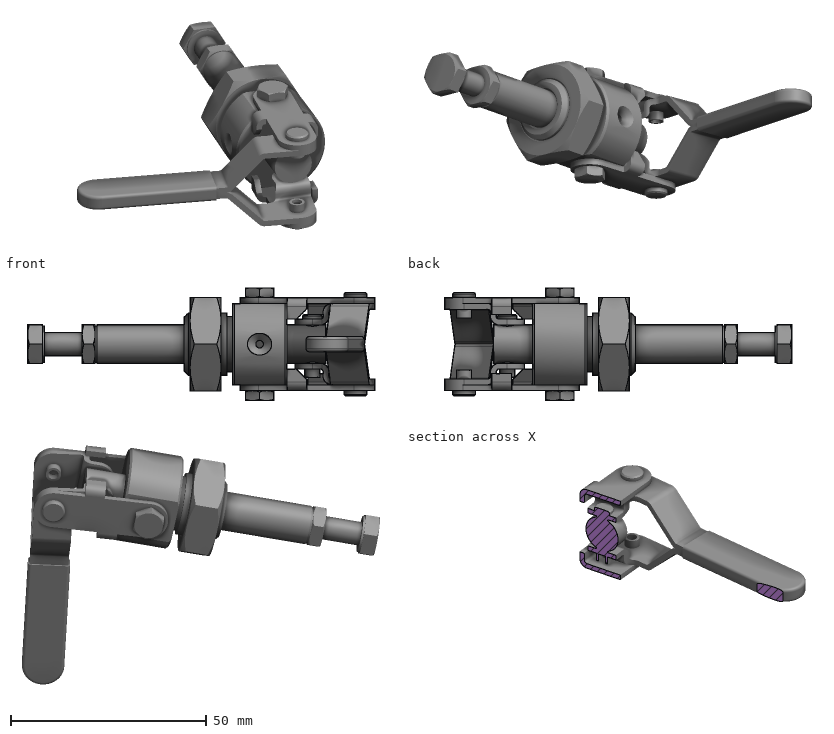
import cadquery as cq
import math


BOLT_AF = 10.0
BOLT_HEAD = 3.7
BOLT_COLLAR = 0.5
COLLAR_RADIUS = 4.7
STUD_RADIUS = 3.0
LOCK_NUT_X = 14.0
LOCK_NUT_THICK = 3.3
LOCK_NUT_COLLAR = 0.5

HEX_TRIM_ANGLE = math.radians(30)

PLUNGER_RADIUS = 5.0
PLUNGER_END = 76.4

SLEEVE_X = 40.1
SLEEVE_RADIUS = 8.0
SLEEVE_CHAMFER = 1.1
SLEEVE_END = 51.05
NECK_RADIUS = 7.1
NUT_AF = 24.0
NUT_X = 41.6
NUT_THICK = 7.9
NUT_BORE_CHAMFER = 0.4
SLEEVE_BORE_CHAMFER = 0.45

BODY_X = 52.5
BODY_END = 66.4
BODY_RADIUS = 12.0
BODY_CHAMFER = 0.5
COUNTERSINK_RADIUS = 3.1
CROSS_HOLE_RADIUS = 1.0

SHEET = 1.5
BEND_RADIUS = 0.7
OUTER_BEND_RADIUS = BEND_RADIUS + SHEET
FLAT_Z = 10.4
LINK_TOP = FLAT_Z + SHEET
ARM_BOTTOM = FLAT_Z - SHEET

LINK_BOLT = (59.4, 0.0)
PIVOT = (83.95, -1.5)
LINK_RADIUS = 5.0
LINK_DX = PIVOT[0] - LINK_BOLT[0]
LINK_DY = PIVOT[1] - LINK_BOLT[1]
LINK_LENGTH = math.hypot(LINK_DX, LINK_DY)
LINK_ANGLE = math.degrees(math.atan2(LINK_DY, LINK_DX))
TAB_WIDTH = 5.1
TAB_REACH = 7.6
FRONT_TAB_X = 7.5
FRONT_TAB_TIP = 6.4
FRONT_TAB_CHAMFER = 2.7
REAR_TAB_X = 12.0
REAR_TAB_TIP = 7.6
LINK_BOLT_AF = 7.3
OVERALL_HEIGHT = 28.9
LINK_BOLT_TOP = OVERALL_HEIGHT / 2

PIVOT_HEAD_RADIUS = 2.9
PIVOT_HEAD_TOP = 13.25
PIN_CHAMFER = 0.4
PIN_RADIUS = 2.0
PIN_BORE_RADIUS = 1.3
PIVOT_TAIL = 2.2
PLUNGER_PIN = (72.9, 0.0)
PLUNGER_PIN_HEAD_RADIUS = 2.5
PLUNGER_PIN_TOP = 7.6
PLUNGER_PIN_BOTTOM = -8.5

HANDLE_ANGLE = -98.0
ARM_WIDTH = 10.0
EAR_RADIUS = 4.45
EAR_BOTTOM = 4.9
JOGGLE_X = 75.7
ROOT_LENGTH = 8.2
INNER_CORNER = 2.7
BEND_START = 10.1
FORK_ANGLE = math.radians(45)
GRIP_START = 21.9
GRIP_END_CENTRE = 51.8
GRIP_RADIUS = 5.4
GRIP_HALF_THICK = 2.0
GRIP_ROUND = 0.8


def x_cylinder(x_start, x_end, radius):
    return cq.Workplane("YZ", origin=(x_start, 0, 0)).circle(radius).extrude(x_end - x_start)


def z_cylinder(centre, z_start, z_end, radius):
    return cq.Workplane("XY", origin=(*centre, z_start)).circle(radius).extrude(z_end - z_start)


def hexagon(across_flats, height, trim_far_end=True):
    """Hexagonal prism along Z with corners on Y, its corners trimmed by cones at one or both ends."""
    corner = across_flats / math.sqrt(3)
    flat = across_flats / 2
    drop = (corner - flat) * math.tan(HEX_TRIM_ANGLE)
    prism = cq.Workplane("XY").polygon(6, 2 * corner).extrude(height).rotate((0, 0, 0), (0, 0, 1), 90)
    trim_outline = [(0, 0), (flat, 0), (corner, drop)]
    if trim_far_end:
        trim_outline += [(corner, height - drop), (flat, height)]
    else:
        trim_outline += [(corner, height)]
    trim_outline += [(0, height)]
    trim = cq.Workplane("XZ").polyline(trim_outline).close().revolve(360, (0, 0), (0, 1))
    return prism.intersect(trim)


def x_hexagon(across_flats, x_start, height, trim_far_end=True):
    """Hexagonal prism along X with corners on Y."""
    prism = hexagon(across_flats, height, trim_far_end)
    return prism.rotate((0, 0, 0), (0, 1, 0), 90).translate((x_start, 0, 0))


def x_countersink(face_x, direction, bore_radius, chamfer):
    """45 degree cone widening a bore at face_x and narrowing in the given X direction."""
    apex_x = face_x + direction * (bore_radius + chamfer)
    outline = [(face_x, 0), (face_x, bore_radius + chamfer), (apex_x, 0)]
    return cq.Workplane("XY").polyline(outline).close().revolve(360, (0, 0), (1, 0))


def rounded_bar(start, end, radius, z_start, thickness):
    """Flat bar with round ends centred on two points."""
    dx = end[0] - start[0]
    dy = end[1] - start[1]
    middle = ((start[0] + end[0]) / 2, (start[1] + end[1]) / 2, z_start)
    return (
        cq.Workplane("XY", origin=middle)
        .slot2D(math.hypot(dx, dy) + 2 * radius, 2 * radius, math.degrees(math.atan2(dy, dx)))
        .extrude(thickness)
    )


def mirrored(shape):
    """Join an upper part to its copy below the mid-plane."""
    return shape.union(shape.mirror("XY"))


def fillet_bends(profile, inner_corners, outer_corners):
    """Round the bends of an XZ sheet profile at the given (x, z) corners."""
    for corners, radius in ((inner_corners, BEND_RADIUS), (outer_corners, OUTER_BEND_RADIUS)):
        for x, z in corners:
            corner = cq.selectors.NearestToPointSelector((x, 0, z))
            profile = profile.edges("|Y").edges(corner).fillet(radius)
    return profile


def make_plunger():
    head_end = BOLT_HEAD + BOLT_COLLAR
    nut_face = LOCK_NUT_X + LOCK_NUT_THICK
    nut_end = nut_face + LOCK_NUT_COLLAR
    head = x_hexagon(BOLT_AF, 0, BOLT_HEAD, trim_far_end=False)
    collar = x_cylinder(BOLT_HEAD, head_end, COLLAR_RADIUS)
    stud = x_cylinder(head_end, LOCK_NUT_X, STUD_RADIUS)
    lock_nut = x_hexagon(BOLT_AF, LOCK_NUT_X, LOCK_NUT_THICK)
    lock_nut = lock_nut.union(x_cylinder(nut_face, nut_end, COLLAR_RADIUS))
    rod = x_cylinder(nut_end, PLUNGER_END, PLUNGER_RADIUS)
    return head.union(collar).union(stud).union(lock_nut).union(rod)


def make_sleeve():
    thread = x_cylinder(SLEEVE_X, SLEEVE_END, SLEEVE_RADIUS).faces("<X").chamfer(SLEEVE_CHAMFER)
    neck = x_cylinder(SLEEVE_END, BODY_X, NECK_RADIUS)
    nut = x_hexagon(NUT_AF, NUT_X, NUT_THICK)
    for nut_face, direction in ((NUT_X, 1), (NUT_X + NUT_THICK, -1)):
        nut = nut.cut(x_countersink(nut_face, direction, SLEEVE_RADIUS, NUT_BORE_CHAMFER))
    sleeve = thread.union(neck).union(nut)
    return sleeve.cut(x_countersink(SLEEVE_X, 1, PLUNGER_RADIUS, SLEEVE_BORE_CHAMFER))


def make_body():
    length = BODY_END - BODY_X
    flats = cq.Workplane("XY").box(length, 2 * BODY_RADIUS, 2 * FLAT_Z)
    flats = flats.translate((BODY_X + length / 2, 0, 0))
    body = x_cylinder(BODY_X, BODY_END, BODY_RADIUS).faces("<X or >X").chamfer(BODY_CHAMFER)
    body = body.intersect(flats)

    cone_bottom = BODY_RADIUS - (COUNTERSINK_RADIUS - CROSS_HOLE_RADIUS)
    hole_outline = [
        (0, -BODY_RADIUS),
        (COUNTERSINK_RADIUS, -BODY_RADIUS),
        (CROSS_HOLE_RADIUS, -cone_bottom),
        (CROSS_HOLE_RADIUS, -PLUNGER_RADIUS),
        (0, -PLUNGER_RADIUS),
    ]
    hole = cq.Workplane("XY").polyline(hole_outline).close().revolve(360, (0, 0), (0, 1))
    return body.cut(hole.translate((*LINK_BOLT, 0)))


def make_tab(x_start, tip_z):
    """Tab on the +Y edge of a link, bent down towards the clamp axis."""
    bend_y = TAB_REACH - OUTER_BEND_RADIUS
    bend_z = FLAT_Z - BEND_RADIUS
    outer_shift = OUTER_BEND_RADIUS * math.sqrt(0.5)
    inner_shift = BEND_RADIUS * math.sqrt(0.5)
    return (
        cq.Workplane("YZ", origin=(x_start, 0, 0))
        .moveTo(0, FLAT_Z)
        .lineTo(0, LINK_TOP)
        .lineTo(bend_y, LINK_TOP)
        .threePointArc((bend_y + outer_shift, bend_z + outer_shift), (TAB_REACH, bend_z))
        .lineTo(TAB_REACH, tip_z)
        .lineTo(TAB_REACH - SHEET, tip_z)
        .lineTo(TAB_REACH - SHEET, bend_z)
        .threePointArc((bend_y + inner_shift, bend_z + inner_shift), (bend_y, FLAT_Z))
        .close()
        .extrude(TAB_WIDTH)
    )


def make_link():
    """Upper link with its two stop tabs and its hexagon bolt."""
    bar = rounded_bar((0, 0), (LINK_LENGTH, 0), LINK_RADIUS, FLAT_Z, SHEET)
    front_tab = make_tab(FRONT_TAB_X, FRONT_TAB_TIP).mirror("XZ")
    front_tab = front_tab.faces("<Z").edges(">X").chamfer(FRONT_TAB_CHAMFER)
    rear_tab = make_tab(REAR_TAB_X, REAR_TAB_TIP)
    link = bar.union(front_tab).union(rear_tab)
    link = link.rotate((0, 0, 0), (0, 0, 1), LINK_ANGLE).translate((*LINK_BOLT, 0))
    bolt = hexagon(LINK_BOLT_AF, LINK_BOLT_TOP - LINK_TOP).translate((*LINK_BOLT, LINK_TOP))
    return link.union(bolt)


def make_pivot_pin():
    """Upper pivot pin: head above the link, hollow tail below the handle arm."""
    tail_end = ARM_BOTTOM - PIVOT_TAIL
    head = z_cylinder(PIVOT, LINK_TOP, PIVOT_HEAD_TOP, PIVOT_HEAD_RADIUS).faces(">Z").chamfer(PIN_CHAMFER)
    shank = z_cylinder(PIVOT, tail_end, LINK_TOP, PIN_RADIUS)
    bore = z_cylinder(PIVOT, tail_end, ARM_BOTTOM, PIN_BORE_RADIUS)
    return head.union(shank).cut(bore)


def make_plunger_pin():
    """Pin across the plunger, headed at the top and hollow at the bottom."""
    ear_top = EAR_BOTTOM + SHEET
    head = z_cylinder(PLUNGER_PIN, ear_top, PLUNGER_PIN_TOP, PLUNGER_PIN_HEAD_RADIUS)
    head = head.faces(">Z").chamfer(PIN_CHAMFER)
    shank = z_cylinder(PLUNGER_PIN, PLUNGER_PIN_BOTTOM, ear_top, PIN_RADIUS)
    bore = z_cylinder(PLUNGER_PIN, PLUNGER_PIN_BOTTOM, -ear_top, PIN_BORE_RADIUS)
    return head.union(shank).cut(bore)


def to_pivot(shape):
    """Move a shape drawn along +X from the origin onto the handle axis."""
    return shape.rotate((0, 0, 0), (0, 0, 1), HANDLE_ANGLE).translate((*PIVOT, 0))


def make_arm_root():
    """L-shaped upper arm root, joggled inwards to an ear beside the plunger."""
    height = FLAT_Z - EAR_BOTTOM
    wall_end = JOGGLE_X + SHEET
    ear_outline = [
        (PLUNGER_PIN[0], -EAR_RADIUS),
        (PIVOT[0], -EAR_RADIUS),
        (PIVOT[0], PIVOT[1] + ARM_WIDTH / 2),
        (wall_end, EAR_RADIUS),
        (PLUNGER_PIN[0], EAR_RADIUS),
    ]
    ear = cq.Workplane("XY", origin=(0, 0, EAR_BOTTOM)).polyline(ear_outline).close().extrude(height)
    ear = ear.union(z_cylinder(PLUNGER_PIN, EAR_BOTTOM, FLAT_Z, EAR_RADIUS))
    pivot_end = z_cylinder(PIVOT, EAR_BOTTOM, FLAT_Z, ARM_WIDTH / 2)
    arm_base = cq.Workplane("XY", origin=(ROOT_LENGTH / 2, 0, EAR_BOTTOM)).rect(ROOT_LENGTH, ARM_WIDTH)
    plan = ear.union(pivot_end).union(to_pivot(arm_base.extrude(height)))
    corner_point = (PIVOT[0] - ARM_WIDTH / 2, -EAR_RADIUS, EAR_BOTTOM + height / 2)
    plan = plan.edges(cq.selectors.NearestToPointSelector(corner_point)).fillet(INNER_CORNER)

    x_min = PLUNGER_PIN[0] - EAR_RADIUS
    x_max = PIVOT[0] + ARM_WIDTH / 2
    ear_top = EAR_BOTTOM + SHEET
    outer_corners = [(wall_end, EAR_BOTTOM), (JOGGLE_X, FLAT_Z)]
    inner_corners = [(wall_end, ARM_BOTTOM), (JOGGLE_X, ear_top)]
    joggle_outline = [
        (x_min, EAR_BOTTOM),
        outer_corners[0],
        inner_corners[0],
        (x_max, ARM_BOTTOM),
        (x_max, FLAT_Z),
        outer_corners[1],
        inner_corners[1],
        (x_min, ear_top),
    ]
    joggle = cq.Workplane("XZ").polyline(joggle_outline).close().extrude(2 * ROOT_LENGTH, both=True)
    joggle = fillet_bends(joggle, inner_corners, outer_corners)
    return plan.intersect(joggle)


def make_arm_strip():
    """Upper arm strip, bent inwards to the mid-plane and on into the grip."""
    bend_end = BEND_START + (FLAT_Z - SHEET) / math.tan(FORK_ANGLE)
    bend_shift = SHEET * math.tan(FORK_ANGLE / 2)
    outer_corners = [(BEND_START, FLAT_Z), (bend_end - bend_shift, 0)]
    inner_corners = [(BEND_START - bend_shift, ARM_BOTTOM), (bend_end, SHEET)]
    outline = [
        (ROOT_LENGTH, ARM_BOTTOM),
        (ROOT_LENGTH, FLAT_Z),
        outer_corners[0],
        inner_corners[1],
        (GRIP_END_CENTRE, SHEET),
        (GRIP_END_CENTRE, 0),
        outer_corners[1],
        inner_corners[0],
    ]
    strip = cq.Workplane("XZ").polyline(outline).close().extrude(ARM_WIDTH / 2, both=True)
    strip = fillet_bends(strip, inner_corners, outer_corners)
    return to_pivot(strip)


def make_grip():
    length = GRIP_END_CENTRE - GRIP_START
    grip = (
        cq.Workplane("XY", origin=(GRIP_START, 0, -GRIP_HALF_THICK))
        .moveTo(0, -GRIP_RADIUS)
        .lineTo(length, -GRIP_RADIUS)
        .threePointArc((length + GRIP_RADIUS, 0), (length, GRIP_RADIUS))
        .lineTo(0, GRIP_RADIUS)
        .close()
        .extrude(2 * GRIP_HALF_THICK)
    )
    grip = grip.faces("<Z or >Z").edges("not <X").fillet(GRIP_ROUND)
    return to_pivot(grip)


result = make_plunger().union(make_sleeve()).union(make_body())
result = result.union(mirrored(make_link()))
result = result.union(mirrored(make_arm_root().union(make_arm_strip())))
result = result.union(make_grip())
result = result.union(mirrored(make_pivot_pin())).union(make_plunger_pin())